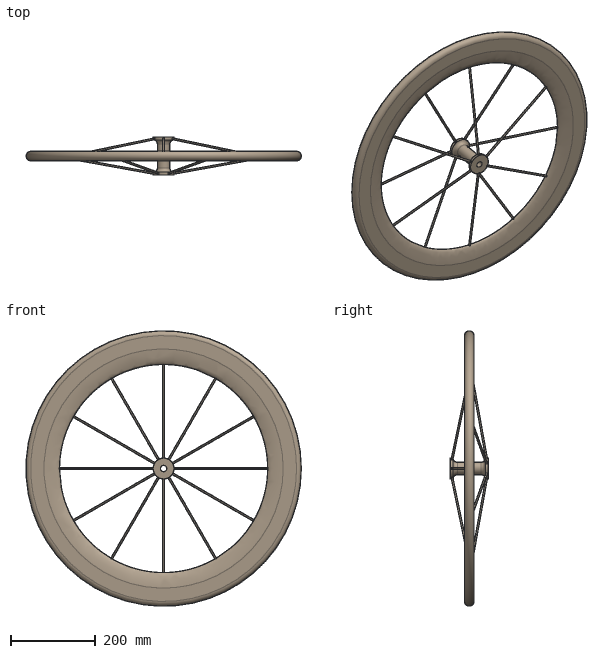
import cadquery as cq
import math


wheel_radius = 325.0
flat_inner_radius = 282.0
rim_inner_radius = 245.0
rim_width = 23.0

hub_half_length = 45.15
hub_body_radius = 15.0
flange_radius = 25.0
flange_thickness = 7.0
axle_bore_radius = 7.0

spokes_per_side = 6
spoke_radius = 2.3
spoke_hub_radius = 19.5
spoke_rim_radius = 250.0

rim_half_width = rim_width / 2
tyre_crown_radius = wheel_radius - rim_half_width
flange_inner_face = hub_half_length - flange_thickness
flange_middle = hub_half_length - flange_thickness / 2
flare_radius = flange_radius - hub_body_radius
flare_end = flange_inner_face - flare_radius
flare_middle_offset = flare_radius * math.sin(math.radians(45))


def revolve_about_axle(profile):
    """Revolve an XY profile a full turn about the Y axis."""
    return profile.close().revolve(360, (0, 0, 0), (0, 1, 0))


def make_rim():
    """Flat-sided deep rim with a rounded tread and an elliptical inner nose."""
    nose_depth = flat_inner_radius - rim_inner_radius
    profile = (
        cq.Workplane("XY")
        .moveTo(flat_inner_radius, -rim_half_width)
        .lineTo(tyre_crown_radius, -rim_half_width)
        .threePointArc((wheel_radius, 0), (tyre_crown_radius, rim_half_width))
        .lineTo(flat_inner_radius, rim_half_width)
        .ellipseArc(nose_depth, rim_half_width, 90, 270, startAtCurrent=True)
    )
    return revolve_about_axle(profile)


def make_hub():
    """Hollow barrel that flares into a flange at each end."""
    flare_middle_radius = flange_radius - flare_middle_offset
    flare_middle_y = flare_end + flare_middle_offset
    profile = (
        cq.Workplane("XY")
        .moveTo(axle_bore_radius, -hub_half_length)
        .lineTo(flange_radius, -hub_half_length)
        .lineTo(flange_radius, -flange_inner_face)
        .threePointArc((flare_middle_radius, -flare_middle_y), (hub_body_radius, -flare_end))
        .lineTo(hub_body_radius, flare_end)
        .threePointArc((flare_middle_radius, flare_middle_y), (flange_radius, flange_inner_face))
        .lineTo(flange_radius, hub_half_length)
        .lineTo(axle_bore_radius, hub_half_length)
    )
    return revolve_about_axle(profile)


def make_spoke(side, angle):
    """Straight spoke from the flange on one side (-1 or +1 along Y) to the rim's mid-plane."""
    start = cq.Vector(spoke_hub_radius, side * flange_middle, 0)
    end = cq.Vector(spoke_rim_radius, 0, 0)
    direction = end - start
    spoke = cq.Solid.makeCylinder(spoke_radius, direction.Length, start, direction)
    return spoke.rotate(cq.Vector(0, 0, 0), cq.Vector(0, 1, 0), angle)


wheel = make_rim().union(make_hub())
spoke_pitch = 360 / spokes_per_side
for side, first_angle in ((-1, 0), (1, spoke_pitch / 2)):
    for index in range(spokes_per_side):
        wheel = wheel.union(make_spoke(side, first_angle + index * spoke_pitch))

result = wheel